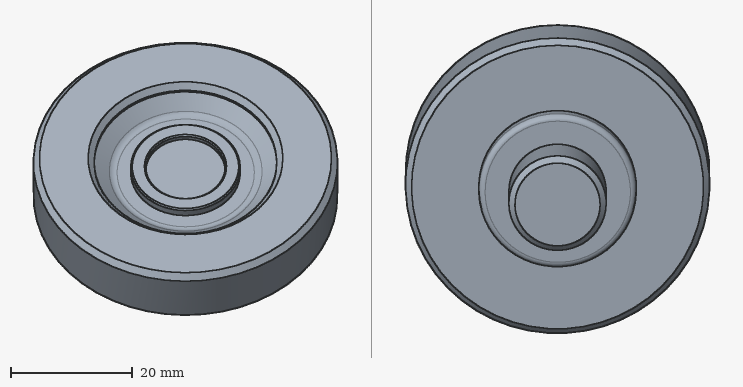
import cadquery as cq

rim_diameter = 50.0
rim_thickness = 11.0
edge_chamfer = 1.0
boss_diameter = 25.9
boss_height = 3.0
boss_round = 1.0
spigot_diameter = 16.0
spigot_length = 9.0

dish_diameter = 30.0
dish_straight_depth = 1.4
dish_floor_depth = 3.85
dish_cone_foot_diameter = 24.0
dish_floor_round = 2.0

ring_diameter = 18.0
ring_top_depth = 2.25
pocket_diameter = 13.0
pocket_depth = 3.25
ring_chamfer = 0.25

boss_bottom = spigot_length
rim_bottom = boss_bottom + boss_height
rim_top = rim_bottom + rim_thickness


def disc(diameter, bottom, top):
    """Cylinder on the Z axis between two heights."""
    return cq.Workplane("XY").workplane(offset=bottom).circle(diameter / 2).extrude(top - bottom)


def make_body():
    rim = disc(rim_diameter, rim_bottom, rim_top).edges().chamfer(edge_chamfer)
    boss = disc(boss_diameter, boss_bottom, rim_bottom).faces("<Z").edges().fillet(boss_round)
    spigot = disc(spigot_diameter, 0, boss_bottom).faces("<Z").edges().chamfer(edge_chamfer)
    return rim.union(boss).union(spigot)


def make_dish():
    """Solid to remove: chamfered mouth, short straight wall, cone and rounded floor."""
    floor = rim_top - dish_floor_depth
    radius = dish_diameter / 2
    profile = (
        cq.Workplane("XZ")
        .moveTo(0, floor)
        .lineTo(dish_cone_foot_diameter / 2, floor)
        .lineTo(radius, rim_top - dish_straight_depth)
        .lineTo(radius, rim_top - edge_chamfer)
        .lineTo(radius + edge_chamfer, rim_top)
        .lineTo(0, rim_top)
        .close()
    )
    dish = profile.revolve(360, (0, 0, 0), (0, 1, 0))
    return dish.faces("<Z").edges().fillet(dish_floor_round)


def make_ring():
    """Ring with a blind pocket, chamfered on both top edges."""
    floor = rim_top - dish_floor_depth
    ring_top = rim_top - ring_top_depth
    ring = disc(ring_diameter, floor, ring_top)
    ring = ring.cut(disc(pocket_diameter, rim_top - pocket_depth, ring_top))
    return ring.faces(">Z").edges().chamfer(ring_chamfer)


result = make_body().cut(make_dish()).union(make_ring())